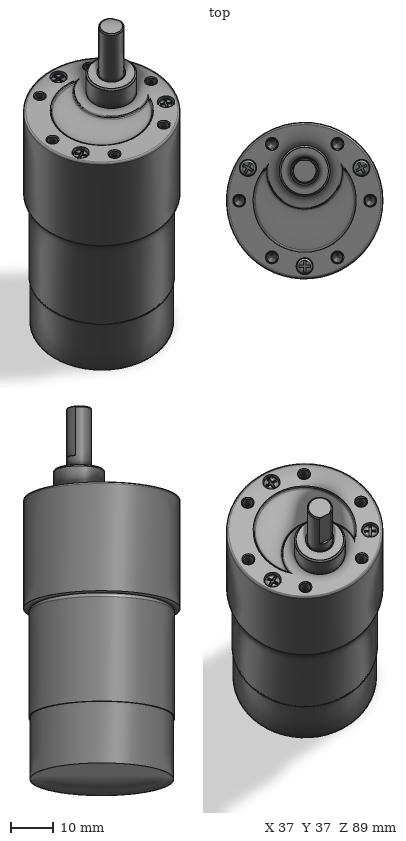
import cadquery as cq
import math

TOTAL_HEIGHT = 89.0
SHAFT_LENGTH = 14.95
BOSS_HEIGHT = 6.05
GEARBOX_HEIGHT = 26.5
END_CAP_HEIGHT = 14.95
BOSS_TOP = TOTAL_HEIGHT - SHAFT_LENGTH
GEARBOX_TOP = BOSS_TOP - BOSS_HEIGHT
GEARBOX_BOTTOM = GEARBOX_TOP - GEARBOX_HEIGHT
MOTOR_CAN_HEIGHT = GEARBOX_BOTTOM - END_CAP_HEIGHT

GEARBOX_DIAMETER = 37.0
MOTOR_CAN_DIAMETER = 34.5
END_CAP_DIAMETER = 34.0
MOTOR_CAN_FILLET = 1.1
GEARBOX_FILLET = 0.5

SHAFT_OFFSET = 7.0
SHAFT_DIAMETER = 6.0
SHAFT_CHAMFER = 0.3
SHAFT_FLAT_DISTANCE = 2.5
SHAFT_FLAT_LENGTH = 12.0
BOSS_DIAMETER = 12.0
BOSS_CHAMFER = 0.4

RECESS_DEPTH = 0.5
RECESS_RADIUS = 12.2
ISLAND_RADIUS = 8.7

HOLE_CIRCLE_RADIUS = 15.5
MOUNT_HOLE_COUNT = 6
MOUNT_HOLE_DIAMETER = 2.5
MOUNT_HOLE_MOUTH = 3.0
MOUNT_HOLE_DEPTH = 5.0
DRILL_POINT_ANGLE = 118.0
SCREW_COUNT = 3
SCREW_FIRST_ANGLE = 30.0
SCREW_POCKET_DIAMETER = 4.0
SCREW_POCKET_DEPTH = 2.0
SCREW_HEAD_DIAMETER = 3.7
SCREW_HEAD_SINK = 0.6
SCREW_HEAD_FILLET = 0.5
SCREW_SLOT_WIDTH = 0.5
SCREW_SLOT_DEPTH = 0.45


def cylinder(diameter, bottom, height, y=0.0):
    """Upright cylinder standing at the given height, on the X = 0 plane."""
    return cq.Workplane("XY", origin=(0, y, bottom)).circle(diameter / 2).extrude(height)


def ring_copies(feature, count, first_angle):
    """Turn a feature built on the +X axis into equally spaced copies around Z."""
    step = 360.0 / count
    copies = cq.Workplane("XY")
    for index in range(count):
        copies = copies.add(feature.rotate((0, 0, 0), (0, 0, 1), first_angle + index * step))
    return copies.combine()


def make_body():
    end_cap = cylinder(END_CAP_DIAMETER, 0, END_CAP_HEIGHT)
    can = cylinder(MOTOR_CAN_DIAMETER, END_CAP_HEIGHT, MOTOR_CAN_HEIGHT)
    can = can.faces(">Z").edges().fillet(MOTOR_CAN_FILLET)
    gearbox = cylinder(GEARBOX_DIAMETER, GEARBOX_BOTTOM, GEARBOX_HEIGHT)
    gearbox = gearbox.faces(">Z").edges().fillet(GEARBOX_FILLET)
    return end_cap.union(can).union(gearbox)


def make_boss():
    boss = cylinder(BOSS_DIAMETER, GEARBOX_TOP, BOSS_HEIGHT, SHAFT_OFFSET)
    boss = boss.faces(">Z").edges().chamfer(BOSS_CHAMFER)
    shaft_radius = SHAFT_DIAMETER / 2
    countersink = cq.Solid.makeCone(
        shaft_radius,
        shaft_radius + BOSS_CHAMFER,
        BOSS_CHAMFER,
        cq.Vector(0, SHAFT_OFFSET, BOSS_TOP - BOSS_CHAMFER),
    )
    return boss.cut(cq.Workplane(obj=countersink))


def make_shaft():
    """Round shaft with a flat on its +Y side near the free end."""
    shaft = cylinder(SHAFT_DIAMETER, GEARBOX_TOP, BOSS_HEIGHT + SHAFT_LENGTH, SHAFT_OFFSET)
    shaft = shaft.faces(">Z").edges().chamfer(SHAFT_CHAMFER)
    flat_origin = (0, SHAFT_OFFSET + SHAFT_FLAT_DISTANCE, TOTAL_HEIGHT - SHAFT_FLAT_LENGTH)
    flat = cq.Workplane("XY", origin=flat_origin).box(
        SHAFT_DIAMETER, SHAFT_DIAMETER, SHAFT_FLAT_LENGTH, centered=(True, False, False)
    )
    return shaft.cut(flat)


def recess_wall(face_radius, floor_radius, y):
    """Solid of revolution whose rounded wall joins the gearbox face to the recess floor."""
    floor = -RECESS_DEPTH
    outward = math.copysign(1, floor_radius - face_radius)
    round_radius = RECESS_DEPTH / 2
    arc_run = round_radius * math.sin(math.radians(45))
    arc_drop = round_radius - arc_run
    middle_radius = (face_radius + floor_radius) / 2
    profile = (
        cq.Workplane("XZ")
        .lineTo(face_radius, 0)
        .threePointArc((face_radius + outward * arc_run, -arc_drop), (middle_radius, floor / 2))
        .threePointArc((floor_radius - outward * arc_run, floor + arc_drop), (floor_radius, floor))
        .lineTo(0, floor)
        .close()
    )
    return profile.revolve(360, (0, 0), (0, 1)).translate((0, y, GEARBOX_TOP))


def make_recess():
    dish = recess_wall(RECESS_RADIUS, RECESS_RADIUS - RECESS_DEPTH, 0)
    island = recess_wall(ISLAND_RADIUS, ISLAND_RADIUS + RECESS_DEPTH, SHAFT_OFFSET)
    return dish.cut(island)


def make_mount_holes():
    """Blind holes with a 45 degree countersink and a drill point."""
    radius = MOUNT_HOLE_DIAMETER / 2
    mouth_radius = MOUNT_HOLE_MOUTH / 2
    countersink_depth = mouth_radius - radius
    point_depth = radius / math.tan(math.radians(DRILL_POINT_ANGLE / 2))
    profile = [
        (0, 0),
        (mouth_radius, 0),
        (radius, -countersink_depth),
        (radius, -MOUNT_HOLE_DEPTH),
        (0, -MOUNT_HOLE_DEPTH - point_depth),
    ]
    hole = cq.Workplane("XZ").polyline(profile).close().revolve(360, (0, 0), (0, 1))
    hole = hole.translate((HOLE_CIRCLE_RADIUS, 0, GEARBOX_TOP))
    return ring_copies(hole, MOUNT_HOLE_COUNT, 0)


def make_screw_pockets():
    pocket = cylinder(SCREW_POCKET_DIAMETER, GEARBOX_TOP - SCREW_POCKET_DEPTH, SCREW_POCKET_DEPTH)
    pocket = pocket.translate((HOLE_CIRCLE_RADIUS, 0, 0))
    return ring_copies(pocket, SCREW_COUNT, SCREW_FIRST_ANGLE)


def make_screw_heads():
    """Round-edged screw heads with a cross slot."""
    head_height = SCREW_POCKET_DEPTH - SCREW_HEAD_SINK
    head_top = GEARBOX_TOP - SCREW_HEAD_SINK
    head = cylinder(SCREW_HEAD_DIAMETER, GEARBOX_TOP - SCREW_POCKET_DEPTH, head_height)
    head = head.faces(">Z").edges().fillet(SCREW_HEAD_FILLET)
    slot_length = SCREW_HEAD_DIAMETER - 2 * SCREW_HEAD_FILLET
    for length, width in ((slot_length, SCREW_SLOT_WIDTH), (SCREW_SLOT_WIDTH, slot_length)):
        slot = cq.Workplane("XY", origin=(0, 0, head_top)).rect(length, width)
        head = head.cut(slot.extrude(-SCREW_SLOT_DEPTH))
    head = head.translate((HOLE_CIRCLE_RADIUS, 0, 0))
    return ring_copies(head, SCREW_COUNT, SCREW_FIRST_ANGLE)


body = make_body().cut(make_recess()).cut(make_mount_holes()).cut(make_screw_pockets())
result = body.union(make_screw_heads()).union(make_boss()).union(make_shaft())